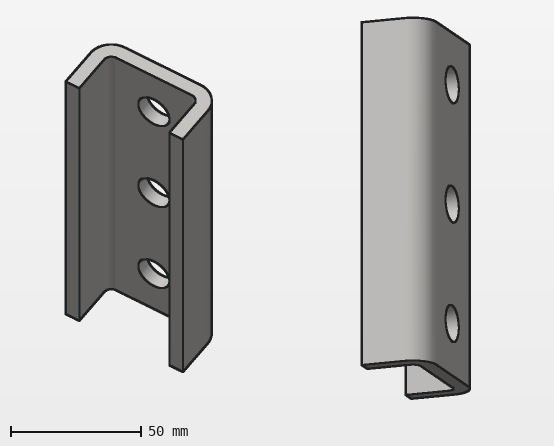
import cadquery as cq

width = 53.9
depth = 27.0
height = 136.5

wall_thickness = 6.3
inner_radius = 3.3
outer_radius = inner_radius + wall_thickness

hole_diameter = 14.3
hole_pitch = 47.5
hole_count = 3


def upright_block(size_x, size_y, back_y, back_radius):
    """Full-height block whose two rear vertical edges are rounded."""
    block = cq.Workplane("XY").box(size_x, size_y, height)
    block = block.edges("|Z and >Y").fillet(back_radius)
    return block.translate((0, back_y - size_y / 2, 0))


def web_holes():
    """Vertical row of cylinders along Y, centred on the channel."""
    return (
        cq.Workplane("XZ")
        .rarray(1.4, hole_pitch, 1, hole_count)
        .circle(hole_diameter / 2)
        .extrude(depth, both=True)
    )


back = depth / 2
outer = upright_block(width, depth, back, outer_radius)
cavity = upright_block(
    width - 2 * wall_thickness,
    depth - wall_thickness,
    back - wall_thickness,
    inner_radius,
)
result = outer.cut(cavity).cut(web_holes())